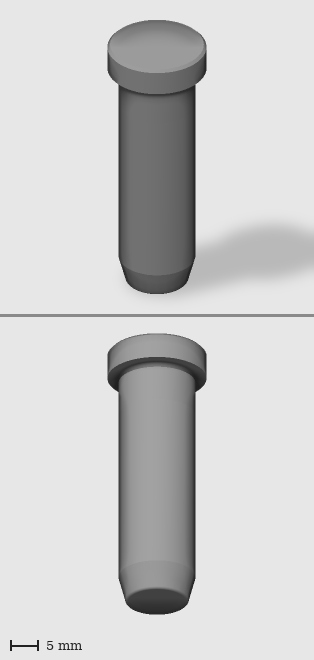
import cadquery as cq
import math

total_length = 50.0
shank_radius = 7.0

head_radius = 9.0
head_height = 5.0
head_chamfer = 0.5
head_bottom = total_length - head_height

groove_radius = 0.5
groove_middle = head_bottom - groove_radius
groove_bottom = head_bottom - 2 * groove_radius

joint_height = 37.5

taper_height = 5.0
taper_angle = 15.0
tip_fillet = 0.5
tip_radius = shank_radius - taper_height * math.tan(math.radians(taper_angle))


def make_headed_collar():
    """Turned upper body: chamfered head, relief groove and short collar."""
    profile = (
        cq.Workplane("XZ")
        .moveTo(0, joint_height)
        .lineTo(shank_radius, joint_height)
        .lineTo(shank_radius, groove_bottom)
        .threePointArc((shank_radius - groove_radius, groove_middle), (shank_radius, head_bottom))
        .lineTo(head_radius, head_bottom)
        .lineTo(head_radius, total_length)
        .lineTo(0, total_length)
        .close()
    )
    collar = profile.revolve(360, (0, 0, 0), (0, 1, 0))
    return collar.faces(">Z").edges().chamfer(head_chamfer)


def make_guide_shank():
    """Turned lower body: straight shank with a tapered, rounded end."""
    profile = (
        cq.Workplane("XZ")
        .lineTo(tip_radius, 0)
        .lineTo(shank_radius, taper_height)
        .lineTo(shank_radius, joint_height)
        .lineTo(0, joint_height)
        .close()
    )
    shank = profile.revolve(360, (0, 0, 0), (0, 1, 0))
    return shank.faces("<Z").edges().fillet(tip_fillet)


headed_collar = make_headed_collar()
guide_shank = make_guide_shank()

result = cq.Compound.makeCompound([headed_collar.val(), guide_shank.val()])